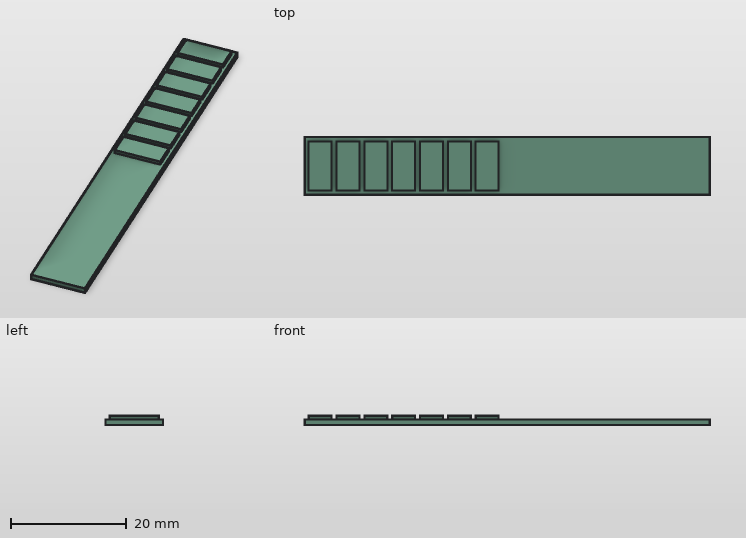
import cadquery as cq

plate_length = 70.0
plate_width = 10.0
plate_thickness = 1.0

total_height = 1.6
tile_height = total_height - plate_thickness
tile_count = 7
tile_length = 4.0
tile_width = 8.5
tile_row_length = 32.8
tile_row_margin = 0.7
tile_pitch = (tile_row_length - tile_length) / (tile_count - 1)


def make_plate():
    """Flat plate centred on the origin in X and Y, resting on Z = 0."""
    return cq.Workplane("XY").box(
        plate_length, plate_width, plate_thickness, centered=(True, True, False)
    )


def make_tiles():
    """Evenly spaced tiles standing on the top face of the plate."""
    first_center_x = -plate_length / 2 + tile_row_margin + tile_length / 2
    centers = [(first_center_x + i * tile_pitch, 0) for i in range(tile_count)]
    return (
        cq.Workplane("XY")
        .workplane(offset=plate_thickness)
        .pushPoints(centers)
        .rect(tile_length, tile_width)
        .extrude(tile_height)
    )


result = make_plate().union(make_tiles())